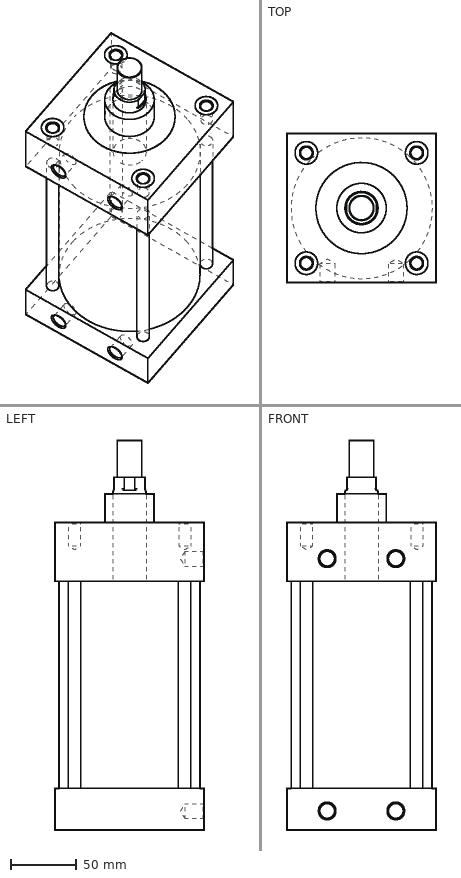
import cadquery as cq
import math

TOTAL_HEIGHT = 298.5
BLOCK_WIDTH = 114.3
CAP_TOP = 32.0
HEAD_BOTTOM = 190.5
HEAD_TOP = 235.5
OVERLAP = 1.5

BARREL_DIAMETER = 108.0
TIE_ROD_DIAMETER = 9.5
TIE_ROD_SPACING = 84.5
TIE_ROD_OFFSET = TIE_ROD_SPACING / 2

GLAND_DIAMETER = 38.0
GLAND_TOP = 257.3
RETAINER_DIAMETER = 69.8
NUT_RECESS_DIAMETER = 17.3
SEAT_DEPTH = 0.15

DRILL_POINT_ANGLE = 118

MOUNT_HOLE_DIAMETER = 9.0
MOUNT_MOUTH_DIAMETER = 10.5
MOUNT_HOLE_DEPTH = 18.0

PORT_DIAMETER = 11.3
PORT_MOUTH_DIAMETER = 13.5
PORT_DEPTH = 15.0
PORT_OFFSET = 26.3
PORT_HEIGHTS = (14.5, 207.7)

ROD_DIAMETER = 25.5
NECK_DIAMETER = 24.0
STUD_DIAMETER = 19.0
STUD_CHAMFER = 0.45
FLAT_WIDTH = 22.5
ROD_BOTTOM = HEAD_BOTTOM
SHOULDER_RISE = 1.5
ROD_SHOULDER = GLAND_TOP + SHOULDER_RISE
NECK_BOTTOM = 261.0
FLAT_BOTTOM = 260.2
NECK_TOP = 270.0


def cylinder(diameter, bottom, top, x=0, y=0):
    """Upright cylinder between two heights."""
    return cq.Workplane("XY", origin=(x, y, bottom)).circle(diameter / 2).extrude(top - bottom)


def end_block(bottom, top):
    """Square end block between two heights."""
    return cq.Workplane("XY", origin=(0, 0, bottom)).rect(BLOCK_WIDTH, BLOCK_WIDTH).extrude(top - bottom)


def drilled_hole(diameter, mouth_diameter, depth):
    """Cutter along -Z from the origin: 45 degree chamfered mouth, straight bore, drill point."""
    radius = diameter / 2
    mouth_radius = mouth_diameter / 2
    chamfer = mouth_radius - radius
    point_height = radius / math.tan(math.radians(DRILL_POINT_ANGLE / 2))
    return (
        cq.Workplane("XZ")
        .moveTo(0, 0)
        .lineTo(mouth_radius, 0)
        .lineTo(radius, -chamfer)
        .lineTo(radius, -depth)
        .lineTo(0, -depth - point_height)
        .close()
        .revolve(360, (0, 0, 0), (0, 1, 0))
    )


def build_rod():
    """Piston rod: full-diameter shaft, tapered shoulder, neck with wrench flats, end stud."""
    profile = [
        (0, ROD_BOTTOM),
        (ROD_DIAMETER / 2, ROD_BOTTOM),
        (ROD_DIAMETER / 2, ROD_SHOULDER),
        (NECK_DIAMETER / 2, NECK_BOTTOM),
        (NECK_DIAMETER / 2, NECK_TOP),
        (STUD_DIAMETER / 2, NECK_TOP),
        (STUD_DIAMETER / 2, TOTAL_HEIGHT - STUD_CHAMFER),
        (STUD_DIAMETER / 2 - STUD_CHAMFER, TOTAL_HEIGHT),
        (0, TOTAL_HEIGHT),
    ]
    rod = cq.Workplane("XZ").polyline(profile).close().revolve(360, (0, 0, 0), (0, 1, 0))
    flat_height = NECK_TOP - FLAT_BOTTOM
    for side in (-1, 1):
        flat_cut = cq.Workplane("XY").box(ROD_DIAMETER, 2 * ROD_DIAMETER, flat_height, centered=(True, True, False))
        rod = rod.cut(flat_cut.translate((side * (FLAT_WIDTH + ROD_DIAMETER) / 2, 0, FLAT_BOTTOM)))
    return rod


def build_housing():
    """End blocks, barrel, tie rods and gland in one piece, with the bore for the rod."""
    corners = [(x, y) for x in (-TIE_ROD_OFFSET, TIE_ROD_OFFSET) for y in (-TIE_ROD_OFFSET, TIE_ROD_OFFSET)]

    housing = end_block(0, CAP_TOP).union(end_block(HEAD_BOTTOM, HEAD_TOP))
    housing = housing.union(cylinder(BARREL_DIAMETER, CAP_TOP - OVERLAP, HEAD_BOTTOM + OVERLAP))
    for x, y in corners:
        housing = housing.union(cylinder(TIE_ROD_DIAMETER, CAP_TOP - OVERLAP, HEAD_BOTTOM + OVERLAP, x, y))

    seat_bottom = HEAD_TOP - SEAT_DEPTH
    housing = housing.cut(cylinder(RETAINER_DIAMETER, seat_bottom, HEAD_TOP))
    housing = housing.union(cylinder(GLAND_DIAMETER, seat_bottom - OVERLAP, GLAND_TOP))
    mount_hole = drilled_hole(MOUNT_HOLE_DIAMETER, MOUNT_MOUTH_DIAMETER, MOUNT_HOLE_DEPTH)
    for x, y in corners:
        housing = housing.cut(cylinder(NUT_RECESS_DIAMETER, seat_bottom, HEAD_TOP, x, y))
        housing = housing.cut(mount_hole.translate((x, y, seat_bottom)))

    port = drilled_hole(PORT_DIAMETER, PORT_MOUTH_DIAMETER, PORT_DEPTH).rotate((0, 0, 0), (1, 0, 0), 90)
    for z in PORT_HEIGHTS:
        for x in (-PORT_OFFSET, PORT_OFFSET):
            housing = housing.cut(port.translate((x, -BLOCK_WIDTH / 2, z)))

    return housing.cut(cylinder(ROD_DIAMETER, ROD_BOTTOM, GLAND_TOP))


housing = build_housing()
rod = build_rod()
result = cq.Compound.makeCompound([housing.val(), rod.val()])